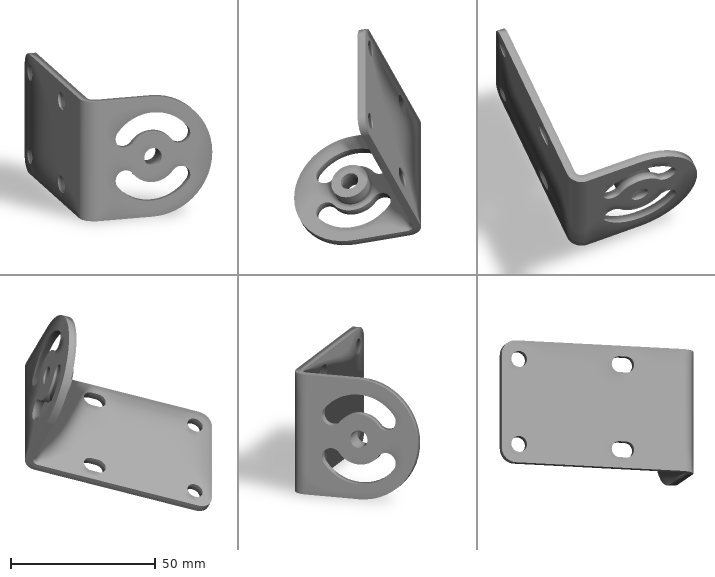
import cadquery as cq
import math

length = 70.0
depth = 46.5
height = 43.0

thickness = 2.8
bend_outer_radius = 5.4
bend_inner_radius = bend_outer_radius - thickness
corner_radius = 5.05

hole_diameter = 5.6
hole_x = 6.2
slot_x = 43.5
slot_length = 8.05
hole_row_z = 15.0

end_radius = height / 2
pivot_y = depth - end_radius
boss_diameter = 13.15
boss_projection = 4.7
pivot_hole_diameter = 6.3

arc_inner_radius = 9.0
arc_outer_radius = 16.0
arc_end_angle = 37.0


def bent_sheet():
    """L-shaped sheet, with its height centred on Z = 0."""
    return (
        cq.Workplane("XY")
        .workplane(offset=-height / 2)
        .lineTo(length - bend_outer_radius, 0)
        .radiusArc((length, bend_outer_radius), -bend_outer_radius)
        .lineTo(length, depth)
        .lineTo(length - thickness, depth)
        .lineTo(length - thickness, bend_outer_radius)
        .radiusArc((length - bend_outer_radius, thickness), bend_inner_radius)
        .lineTo(0, thickness)
        .close()
        .extrude(height)
    )


def round_outlines(sheet):
    """Round the free corners of the long leg and the free end of the short leg."""
    sheet = sheet.edges("<X and |Y").fillet(corner_radius)
    straight_part = cq.Workplane("XY").box(length, pivot_y, height, centered=(False, False, True))
    round_end = cq.Workplane("YZ").center(pivot_y, 0).circle(end_radius).extrude(length)
    return sheet.intersect(straight_part.union(round_end))


def mounting_holes():
    """Cutters for the round and elongated holes through the long leg."""
    rows = (-hole_row_z, hole_row_z)
    round_holes = (
        cq.Workplane("XZ")
        .pushPoints([(hole_x, z) for z in rows])
        .circle(hole_diameter / 2)
        .extrude(-thickness)
    )
    slots = (
        cq.Workplane("XZ")
        .pushPoints([(slot_x, z) for z in rows])
        .slot2D(slot_length, hole_diameter)
        .extrude(-thickness)
    )
    return round_holes.union(slots)


def curved_slot(side):
    """Cutter for a round-ended arc slot above (side = 1) or below (side = -1) the pivot."""
    middle_radius = (arc_inner_radius + arc_outer_radius) / 2

    def polar(radius, angle):
        angle = math.radians(angle)
        return (radius * math.cos(angle), side * radius * math.sin(angle))

    start, end = arc_end_angle, 180 - arc_end_angle
    slot_end_radius = (arc_outer_radius - arc_inner_radius) / 2

    def tip(angle, direction):
        y, z = polar(middle_radius, angle)
        tangent_y, tangent_z = polar(slot_end_radius, angle + direction * 90)
        return (y + tangent_y, z + tangent_z)

    return (
        cq.Workplane("YZ", origin=(length - thickness, pivot_y, 0))
        .moveTo(*polar(arc_outer_radius, start))
        .threePointArc(polar(arc_outer_radius, 90), polar(arc_outer_radius, end))
        .threePointArc(tip(end, 1), polar(arc_inner_radius, end))
        .threePointArc(polar(arc_inner_radius, 90), polar(arc_inner_radius, start))
        .threePointArc(tip(start, -1), polar(arc_outer_radius, start))
        .close()
        .extrude(thickness)
    )


def pivot_cylinder(diameter):
    """Cylinder on the pivot axis, from the boss face to the outer face of the short leg."""
    total = thickness + boss_projection
    return (
        cq.Workplane("YZ", origin=(length - total, pivot_y, 0))
        .circle(diameter / 2)
        .extrude(total)
    )


result = round_outlines(bent_sheet()).cut(mounting_holes())
for slot_side in (1, -1):
    result = result.cut(curved_slot(slot_side))
result = result.union(pivot_cylinder(boss_diameter)).cut(pivot_cylinder(pivot_hole_diameter))